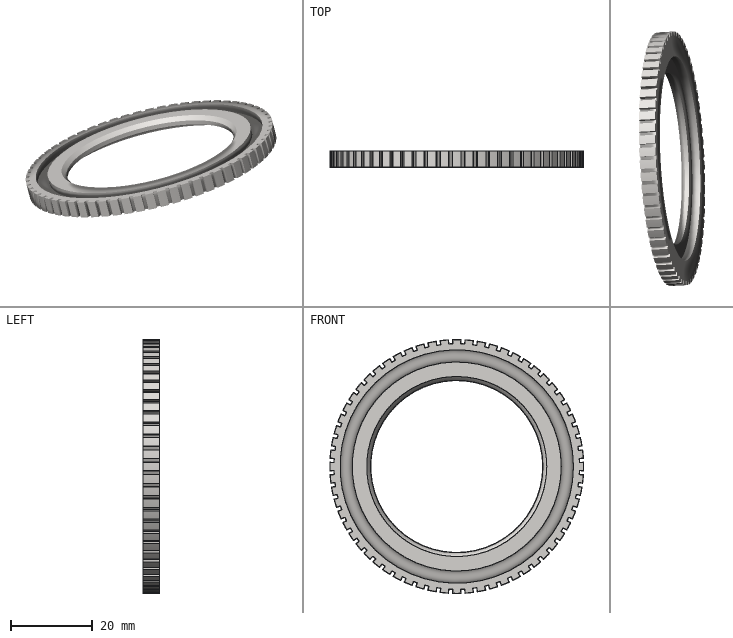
import cadquery as cq

outer_diameter = 62.0
thickness = 4.0
bore_diameter = 42.0
bore_chamfer = 1.0

groove_inner_diameter = 51.0
groove_outer_diameter = 57.0
groove_depth = 1.75

recess_diameter = 50.0
recess_depth = 2.0

notch_count = 64
notch_width = 0.9
notch_depth = 1.0

front_y = -thickness / 2
back_y = thickness / 2


def tube(outer, inner, length):
    """Tube along +Y whose near end lies on the front face."""
    front_plane = cq.Workplane("XZ", origin=(0, front_y, 0))
    return front_plane.circle(outer / 2).circle(inner / 2).extrude(-length)


def ring_blank():
    """Plain ring with the front edge of its bore chamfered."""
    blank = tube(outer_diameter, bore_diameter, thickness)
    bore_edge = blank.faces("<Y").edges(cq.selectors.RadiusNthSelector(0))
    return bore_edge.chamfer(bore_chamfer)


def rim_notches():
    """Notches evenly spaced, with a tooth centred on the +Z direction."""
    pitch_angle = 360 / notch_count
    cutter = cq.Workplane("XY").box(notch_width, thickness, 2 * notch_depth)
    cutter = cutter.translate((0, 0, outer_diameter / 2))
    notches = cq.Workplane("XY")
    for index in range(notch_count):
        angle = (index + 0.5) * pitch_angle
        notches = notches.add(cutter.rotate((0, 0, 0), (0, 1, 0), angle))
    return notches.combine()


face_groove = tube(groove_outer_diameter, groove_inner_diameter, groove_depth)

back_plane = cq.Workplane("XZ", origin=(0, back_y, 0))
back_recess = back_plane.circle(recess_diameter / 2).extrude(recess_depth)

result = ring_blank().cut(face_groove).cut(back_recess).cut(rim_notches())